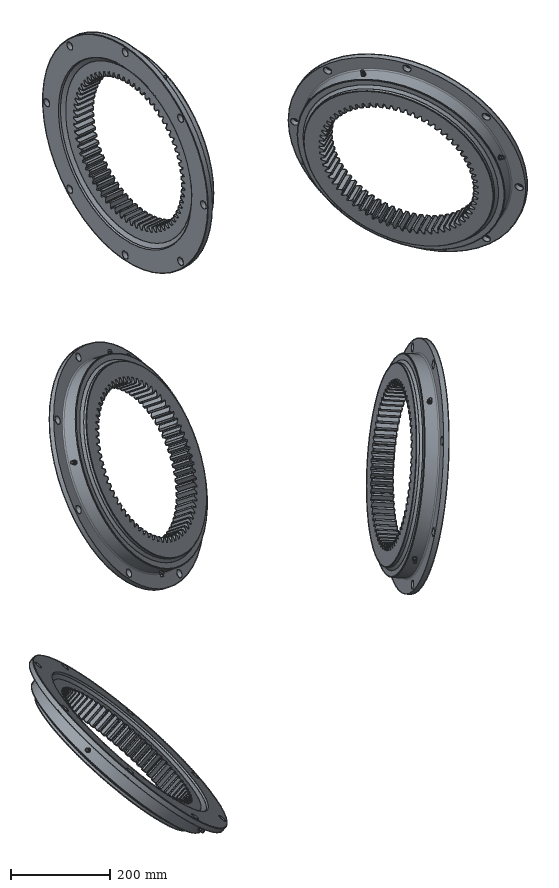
import cadquery as cq
import math


flange_radius = 259.0
flange_thickness = 12.0
body_radius = 227.0
body_top = 44.0
front_bore_radius = 206.5
front_mouth_radius = 208.0
front_flare_depth = 4.0
front_bore_depth = 13.5
edge_chamfer = 1.0
body_chamfer = 1.5
root_fillet = 2.5

bolt_count = 8
bolt_circle_radius = 245.0
bolt_hole_diameter = 17.5

inner_radius = 197.5
inner_front = 10.0
lip_radius = 207.0
lip_bottom = 49.0
overall_height = 56.0
lip_chamfer = 1.0

tooth_count = 67
pitch_radius = 167.5
pressure_angle = math.radians(20)
module = 2 * pitch_radius / tooth_count
tip_radius = pitch_radius - module
root_radius = pitch_radius + 1.25 * module
base_radius = pitch_radius * math.cos(pressure_angle)
tip_chamfer = 2.0

back_seal_radius = 213.5

nipple_count = 4
nipple_start_angle = 67.5
nipple_height = 29.0
seat_depth = 0.5
shank_radius = 3.0
shank_depth = 8.0
collar_radius = 4.5
collar_top = 3.0
shoulder_radius = 4.0
shoulder_top = 6.0
neck_radius = 2.5
neck_top = 8.0
head_radius = 3.0
head_top = 11.5


def revolve_about_y(points):
    """Revolve a closed (radius, y) outline about the ring axis."""
    return cq.Workplane("XY").polyline(points).close().revolve(360, (0, 0), (0, 1))


def polar(radius, angle):
    """Point at the given radius and angle, in radians."""
    return (radius * math.cos(angle), radius * math.sin(angle))


def make_nipple(angle):
    """Turned grease nipple, pointing outward at the given angle in degrees."""
    profile = [
        (0, -shank_depth),
        (shank_radius, -shank_depth),
        (shank_radius, 0),
        (collar_radius, 0),
        (collar_radius, collar_top),
        (shoulder_radius, collar_top),
        (shoulder_radius, shoulder_top),
        (neck_radius, shoulder_top),
        (neck_radius, neck_top),
        (head_radius, neck_top),
        (head_radius, head_top),
        (0, head_top),
    ]
    upright = revolve_about_y(profile)
    seat_distance = body_radius - seat_depth
    on_side = upright.rotate((0, 0, 0), (0, 0, 1), -90).translate((seat_distance, nipple_height, 0))
    return on_side.rotate((0, 0, 0), (0, 1, 0), -angle)


def make_outer_ring(nipples):
    """Flanged ring with bolt holes and a seat matching each nipple."""
    ring = revolve_about_y([
        (front_mouth_radius, 0),
        (flange_radius - edge_chamfer, 0),
        (flange_radius, edge_chamfer),
        (flange_radius, flange_thickness),
        (body_radius, flange_thickness),
        (body_radius, body_top - body_chamfer),
        (body_radius - body_chamfer, body_top),
        (inner_radius, body_top),
        (inner_radius, front_bore_depth),
        (front_bore_radius, front_bore_depth),
        (front_bore_radius, front_flare_depth),
    ])
    flange_root = cq.selectors.BoxSelector(
        (-body_radius - root_fillet, flange_thickness - root_fillet, -body_radius - root_fillet),
        (body_radius + root_fillet, flange_thickness + root_fillet, body_radius + root_fillet),
        boundingbox=True,
    )
    ring = ring.edges(flange_root).fillet(root_fillet)
    bolt_holes = (
        cq.Workplane("XZ")
        .polarArray(bolt_circle_radius, 0, 360, bolt_count)
        .circle(bolt_hole_diameter / 2)
        .extrude(-flange_thickness)
    )
    ring = ring.cut(bolt_holes)
    for nipple in nipples:
        ring = ring.cut(nipple)
    return ring


def space_half_angle(radius):
    """Half the angle of the involute space between two teeth at a radius."""
    roll = math.acos(base_radius / radius)
    involute = math.tan(roll) - roll
    pitch_involute = math.tan(pressure_angle) - pressure_angle
    return math.pi / (2 * tooth_count) + pitch_involute - involute


def make_gear_bore():
    """Cutter with one involute space per tooth, the first centred on +Z."""
    flank_radius = (tip_radius + root_radius) / 2
    tip_half = space_half_angle(tip_radius)
    flank_half = space_half_angle(flank_radius)
    root_half = space_half_angle(root_radius)
    pitch_angle = 2 * math.pi / tooth_count
    start = math.pi / 2
    outline = cq.Workplane("XZ").moveTo(*polar(tip_radius, start - tip_half))
    for i in range(tooth_count):
        middle = start + i * pitch_angle
        next_space = middle + pitch_angle - tip_half
        tooth_middle = middle + pitch_angle / 2
        outline = (
            outline
            .threePointArc(polar(flank_radius, middle - flank_half), polar(root_radius, middle - root_half))
            .threePointArc(polar(root_radius, middle), polar(root_radius, middle + root_half))
            .threePointArc(polar(flank_radius, middle + flank_half), polar(tip_radius, middle + tip_half))
            .threePointArc(polar(tip_radius, tooth_middle), polar(tip_radius, next_space))
        )
    return outline.close().extrude(-overall_height)


def make_inner_ring():
    """Lipped ring with the internal gear cut through it and both ends of the tooth tips bevelled."""
    blank = revolve_about_y([
        (tip_radius, inner_front + tip_chamfer),
        (tip_radius + tip_chamfer, inner_front),
        (inner_radius, inner_front),
        (inner_radius, lip_bottom),
        (lip_radius, lip_bottom),
        (lip_radius, overall_height - lip_chamfer),
        (lip_radius - lip_chamfer, overall_height),
        (tip_radius + tip_chamfer, overall_height),
        (tip_radius, overall_height - tip_chamfer),
    ])
    return blank.cut(make_gear_bore())


def make_front_seal():
    """Seal with a conical face that slopes from the flange bore in to the inner ring."""
    return revolve_about_y([
        (inner_radius, inner_front),
        (front_bore_radius, front_flare_depth),
        (front_bore_radius, front_bore_depth),
        (inner_radius, front_bore_depth),
    ])


def make_back_seal():
    """Conical seal between the outer ring and the lip of the inner ring."""
    return revolve_about_y([
        (inner_radius, body_top),
        (back_seal_radius, body_top),
        (lip_radius, lip_bottom),
        (inner_radius, lip_bottom),
    ])


nipples = [make_nipple(nipple_start_angle + i * 360 / nipple_count) for i in range(nipple_count)]
outer_ring = make_outer_ring(nipples)
inner_ring = make_inner_ring()
front_seal = make_front_seal()
back_seal = make_back_seal()

result = cq.Compound.makeCompound([
    outer_ring.val(),
    inner_ring.val(),
    front_seal.val(),
    back_seal.val(),
    *[nipple.val() for nipple in nipples],
])